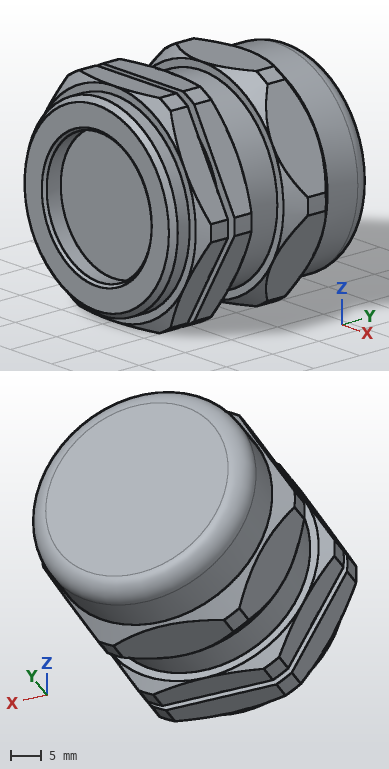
import cadquery as cq
import math

ACROSS_FLATS = 40.0
CORNER_DIAMETER = 44.5

TAIL_LENGTH = 3.6
LOCKNUT_LENGTH = 5.0
SEAL_LENGTH = 1.42
BODY_HEX_LENGTH = 5.0
NECK_LENGTH = 7.6
CAP_HEX_LENGTH = 10.0
TOTAL_LENGTH = 42.58

BODY_DIAMETER = 37.0
TAIL_FACE_DIAMETER = 35.0
TAIL_CHAMFER_LENGTH = 1.02
CAP_DIAMETER = 39.0
CAP_EDGE_RADIUS = 3.43

THIN_HEX_CHAMFER = 1.3
CAP_HEX_FRONT_CHAMFER = 3.3
CAP_HEX_BACK_CHAMFER = 2.85

RECESS_DIAMETER = 25.5
RECESS_MOUTH_DIAMETER = 26.6
RECESS_DEPTH = 3.6
RECESS_CHAMFER = (RECESS_MOUTH_DIAMETER - RECESS_DIAMETER) / 2

locknut_start = TAIL_LENGTH
seal_start = locknut_start + LOCKNUT_LENGTH
body_hex_start = seal_start + SEAL_LENGTH
neck_start = body_hex_start + BODY_HEX_LENGTH
cap_hex_start = neck_start + NECK_LENGTH
cap_start = cap_hex_start + CAP_HEX_LENGTH


def plane_at(y):
    """XZ plane at the given Y, with its normal along +Y."""
    return cq.Workplane(cq.Plane(origin=(0, y, 0), xDir=(1, 0, 0), normal=(0, 1, 0)))


def cylinder(diameter, start, end):
    return plane_at(start).circle(diameter / 2).extrude(end - start)


def revolve_about_y(points):
    """Solid of revolution from (radius, y) points."""
    return cq.Workplane("XY").polyline(points).close().revolve(360, (0, 0, 0), (0, 1, 0))


def hexagon(start, length, front_chamfer=0, back_chamfer=0, back_diameter=ACROSS_FLATS):
    """Hexagon with corners along X, trimmed by a turned envelope."""
    end = start + length
    sharp_diameter = ACROSS_FLATS / math.cos(math.pi / 6)
    prism = plane_at(start).polygon(6, sharp_diameter).extrude(length)
    corner_radius = CORNER_DIAMETER / 2
    profile = [(0, start)]
    if front_chamfer:
        profile.append((ACROSS_FLATS / 2, start))
    profile.append((corner_radius, start + front_chamfer))
    profile.append((corner_radius, end - back_chamfer))
    if back_chamfer:
        profile.append((back_diameter / 2, end))
    profile.append((0, end))
    return prism.intersect(revolve_about_y(profile))


def core():
    """Body cylinder with the chamfered tail at its front end."""
    return revolve_about_y([
        (0, 0),
        (TAIL_FACE_DIAMETER / 2, 0),
        (BODY_DIAMETER / 2, TAIL_CHAMFER_LENGTH),
        (BODY_DIAMETER / 2, cap_hex_start),
        (0, cap_hex_start),
    ])


def seal_ring():
    """Disc with a half-round rim filling the gap between the two thin hexagons."""
    inner_radius = BODY_DIAMETER / 2
    section = (
        cq.Workplane("XY")
        .moveTo(inner_radius, seal_start)
        .threePointArc(
            (inner_radius + SEAL_LENGTH / 2, seal_start + SEAL_LENGTH / 2),
            (inner_radius, body_hex_start),
        )
        .lineTo(0, body_hex_start)
        .lineTo(0, seal_start)
        .close()
    )
    return section.revolve(360, (0, 0, 0), (0, 1, 0))


def domed_cap():
    return cylinder(CAP_DIAMETER, cap_start, TOTAL_LENGTH).faces(">Y").edges().fillet(CAP_EDGE_RADIUS)


def recess():
    """Blind bore with a chamfered mouth."""
    return revolve_about_y([
        (0, 0),
        (RECESS_MOUTH_DIAMETER / 2, 0),
        (RECESS_DIAMETER / 2, RECESS_CHAMFER),
        (RECESS_DIAMETER / 2, RECESS_DEPTH),
        (0, RECESS_DEPTH),
    ])


locknut = hexagon(locknut_start, LOCKNUT_LENGTH, front_chamfer=THIN_HEX_CHAMFER)
body_hex = hexagon(body_hex_start, BODY_HEX_LENGTH, back_chamfer=THIN_HEX_CHAMFER)
cap_hex = hexagon(
    cap_hex_start, CAP_HEX_LENGTH, CAP_HEX_FRONT_CHAMFER, CAP_HEX_BACK_CHAMFER, CAP_DIAMETER
)

result = core()
for section in (seal_ring(), locknut, body_hex, cap_hex, domed_cap()):
    result = result.union(section)
result = result.cut(recess())